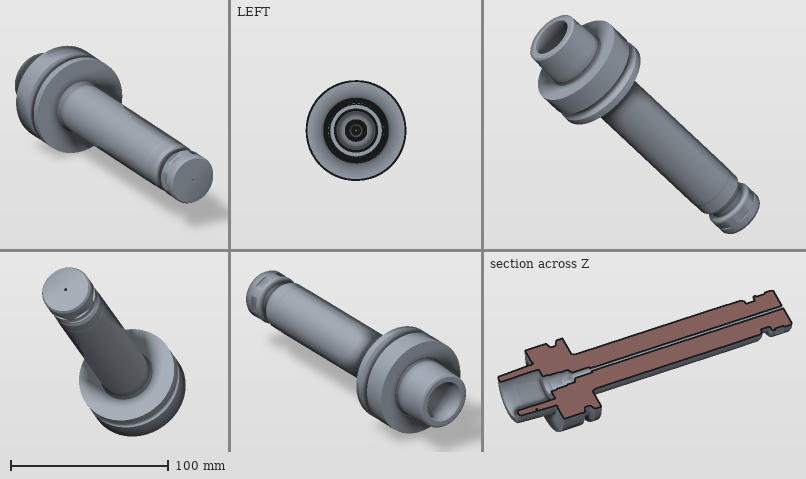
import cadquery as cq


total_length = 190.0
flange_start = 24.9
flange_end = 51.1
shank_end = 169.7
nut_start = 175.8

taper_tip_diameter = 36.1
taper_base_diameter = 38.2
taper_end = 23.2
tip_chamfer_length = 1.0
tip_chamfer_depth = 1.1
relief_diameter = 37.6
relief_start = 23.8
relief_end = 24.5
face_recess_floor_diameter = 39.1
face_recess_diameter = 40.7
face_recess_depth = 0.5

flange_diameter = 63.0
groove_floor_diameter = 55.1
groove_start = 39.7
groove_floor_start = 41.0
groove_floor_end = 44.5
groove_end = 46.5
groove_floor_fillet = 1.1

shank_diameter = 32.0
collar_diameter = 34.2
collar_length = 2.8
shank_tip_diameter = 31.5
shank_step_start = 157.7
shank_step_length = 1.7
shank_chamfer_length = 2.5
shank_chamfer_depth = 1.3
neck_diameter = 24.0

nut_diameter = 32.0
nut_rear_fillet = 1.7
nut_chamfer_length = 1.7
nut_chamfer_depth = 1.0
flat_count = 6
flat_width = 10.8
flat_distance = 14.8
flat_start = 178.0
flat_end = 184.0

mouth_diameter = 27.0
mouth_chamfer_length = 0.5
socket_entry_diameter = 26.0
socket_entry_end = 10.3
socket_diameter = 26.5
socket_end = 26.6

counterbore_diameter = 13.3
counterbore_end = 30.4
middle_bore_diameter = 12.0
middle_bore_end = 38.0
pilot_diameter = 10.8
pilot_end = 43.7
cone_large_diameter = 9.5
cone_length = 1.3
cone_small_diameter = 5.1
drill_diameter = 4.5
drill_end = 57.0
through_diameter = 2.0


def turn(outline):
    """Revolve a closed outline of (x, radius) corners about the X axis."""
    return cq.Workplane("XY").polyline(outline).close().revolve(360, (0, 0, 0), (1, 0, 0))


def turn_solid(corners):
    """Turn (x, diameter) corners into a solid that is filled down to the axis."""
    first_x = corners[0][0]
    last_x = corners[-1][0]
    rim = [(x, diameter / 2) for x, diameter in corners]
    return turn([(first_x, 0)] + rim + [(last_x, 0)])


def make_holder():
    """Outside of the taper, flange, shank and neck."""
    recess_floor = flange_start + face_recess_depth
    return turn_solid([
        (0, taper_tip_diameter - 2 * tip_chamfer_depth),
        (tip_chamfer_length, taper_tip_diameter),
        (taper_end, taper_base_diameter),
        (relief_start, relief_diameter),
        (relief_end, relief_diameter),
        (recess_floor, face_recess_floor_diameter),
        (flange_start, face_recess_diameter),
        (flange_start, flange_diameter),
        (flange_end, flange_diameter),
        (flange_end, collar_diameter),
        (flange_end + collar_length, shank_diameter),
        (shank_step_start, shank_diameter),
        (shank_step_start + shank_step_length, shank_tip_diameter),
        (shank_end - shank_chamfer_length, shank_tip_diameter),
        (shank_end, shank_tip_diameter - 2 * shank_chamfer_depth),
        (shank_end, neck_diameter),
        (nut_start, neck_diameter),
    ])


def make_gripper_groove():
    """Ring with sloping sides that is cut out of the flange rim."""
    floor_radius = groove_floor_diameter / 2
    rim_radius = flange_diameter / 2
    ring = turn([
        (groove_start, rim_radius),
        (groove_floor_start, floor_radius),
        (groove_floor_end, floor_radius),
        (groove_end, rim_radius),
    ])
    floor_edges = ring.edges(cq.selectors.RadiusNthSelector(0))
    return floor_edges.fillet(groove_floor_fillet)


def make_nut():
    """Rounded and chamfered nut with flats cut evenly around it."""
    nut = turn_solid([
        (nut_start, nut_diameter),
        (total_length - nut_chamfer_length, nut_diameter),
        (total_length, nut_diameter - 2 * nut_chamfer_depth),
    ])
    nut = nut.faces("<X").edges().fillet(nut_rear_fillet)
    flat_length = flat_end - flat_start
    cutter_height = nut_diameter / 2
    cutter = cq.Workplane("XY").box(flat_length, cutter_height, flat_width, centered=(False, False, True))
    cutter = cutter.translate((flat_start, flat_distance, 0))
    for index in range(flat_count):
        nut = nut.cut(cutter.rotate((0, 0, 0), (1, 0, 0), index * 360 / flat_count))
    return nut


def make_bore():
    """Stepped hole along the axis, from the taper mouth through the nut."""
    cone_end = pilot_end + cone_length
    return turn_solid([
        (0, mouth_diameter),
        (mouth_chamfer_length, socket_entry_diameter),
        (socket_entry_end, socket_entry_diameter),
        (socket_entry_end, socket_diameter),
        (socket_end, socket_diameter),
        (socket_end, counterbore_diameter),
        (counterbore_end, counterbore_diameter),
        (counterbore_end, middle_bore_diameter),
        (middle_bore_end, middle_bore_diameter),
        (middle_bore_end, pilot_diameter),
        (pilot_end, pilot_diameter),
        (pilot_end, cone_large_diameter),
        (cone_end, cone_small_diameter),
        (cone_end, drill_diameter),
        (drill_end, drill_diameter),
        (drill_end, through_diameter),
        (total_length, through_diameter),
    ])


holder = make_holder().cut(make_gripper_groove())
result = holder.union(make_nut()).cut(make_bore())